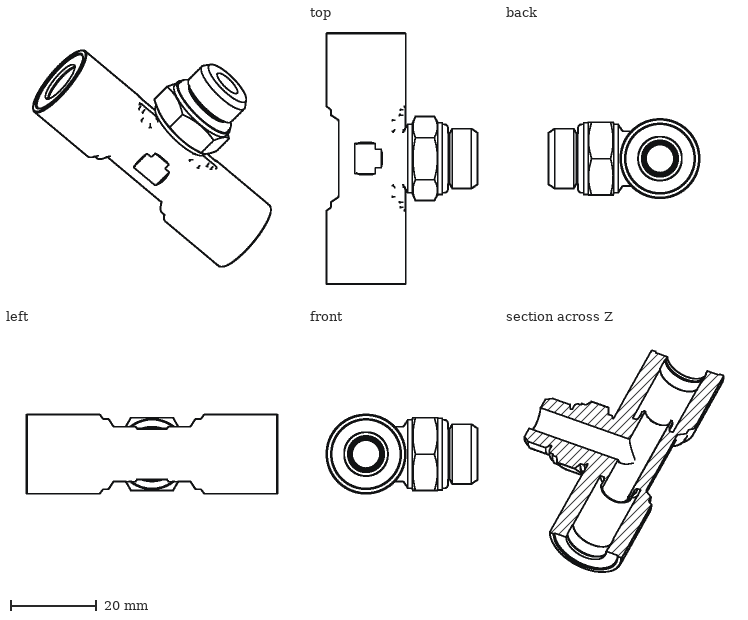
import cadquery as cq
import math

selection_margin = 0.01

run_length = 58.6
run_half = run_length / 2
run_radius = 12.8 / 2
sleeve_radius = 18.5 / 2
sleeve_start = 12.15
sleeve_edge = 0.2
collar_radius = 16.4 / 2
collar_end = 11.38
collar_start = 10.12
run_end = 8.93
shoulder_round = 0.35

recess_rim_radius = 16.4 / 2
recess_floor_radius = 16.0 / 2
recess_depth = 0.3

socket_radius = 10.15 / 2
socket_depth = 20.0
undercut_radius = 10.35 / 2
undercut_start = 0.8
undercut_ramp = 0.3
undercut_end = 4.1

nose_base_radius = 8.5 / 2
nose_radius = 7.85 / 2
nose_tip_radius = 7.1 / 2
nose_length = 3.0
nose_step = 0.5
run_bore_radius = 6.5 / 2
branch_bore_radius = 6.45 / 2

neck_radius = 12.8 / 2
neck_end = 8.7
flange_radius = 16.0 / 2
flange_start = 9.75
hex_start = 10.8
hex_end = 16.7
hex_across_flats = 17.0
hex_rear_face_radius = 16.4 / 2
hex_front_face_radius = 16.8 / 2
hex_rear_chamfer = 0.7
hex_front_chamfer = 0.8
washer_radius = 16.8 / 2
washer_end = 17.75
seal_radius = 16.0 / 2
seal_end = 19.1
seal_round = 0.9
relief_radius = 11.8 / 2
relief_end = 19.45
thread_radius = 14.0 / 2
thread_start = 20.1
thread_chamfer_start = 24.55
branch_end = 26.0
thread_tip_radius = 12.0 / 2

web_thickness = 3.0
web_reach = 9.22
web_overlap = 1.0
web_fillet = 0.9
crease_fillet = 0.4

pad_height = 6.03
pad_rear = -2.7
pad_front = 3.8
pad_width = 7.6
pad_corner = 0.5
pad_edge_round = 0.45
pad_wall_run = 0.3


def revolve_about_y(points):
    return cq.Workplane("XY").polyline(points).close().revolve(360, (0, 0, 0), (0, 1, 0))


def revolve_about_x(points):
    return cq.Workplane("XY").polyline(points).close().revolve(360, (0, 0, 0), (1, 0, 0))


def circle_selector(radius, x=None, y=None):
    reach = radius + selection_margin
    low = [-reach, -reach, -reach]
    high = [reach, reach, reach]
    axis, place = (0, x) if y is None else (1, y)
    low[axis] = place - selection_margin
    high[axis] = place + selection_margin
    return cq.selectors.BoxSelector(low, high, boundingbox=True)


def make_run():
    half_profile = [
        (0, 0),
        (run_radius, 0),
        (run_radius, run_end),
        (collar_radius, collar_start),
        (collar_radius, collar_end),
        (sleeve_radius, sleeve_start),
        (sleeve_radius, run_half - sleeve_edge),
        (sleeve_radius - sleeve_edge, run_half),
        (0, run_half),
    ]
    half = revolve_about_y(half_profile)
    shoulder_circles = [
        (sleeve_radius, sleeve_start),
        (collar_radius, collar_end),
        (collar_radius, collar_start),
        (run_radius, run_end),
    ]
    for radius, place in shoulder_circles:
        half = half.edges(circle_selector(radius, y=place)).fillet(shoulder_round)
    return half.union(half.mirror("XZ"))


def make_neck():
    profile = [
        (0, 0),
        (0, neck_radius),
        (neck_end, neck_radius),
        (flange_start, flange_radius),
        (hex_start, flange_radius),
        (hex_start, 0),
    ]
    return revolve_about_x(profile).edges(circle_selector(neck_radius, x=neck_end)).fillet(shoulder_round)


def make_threaded_end():
    return (
        cq.Workplane("XY")
        .moveTo(hex_end, 0)
        .lineTo(hex_end, washer_radius)
        .lineTo(washer_end, washer_radius)
        .lineTo(washer_end, seal_radius)
        .lineTo(seal_end - seal_round, seal_radius)
        .radiusArc((seal_end, seal_radius - seal_round), seal_round)
        .lineTo(seal_end, relief_radius)
        .lineTo(relief_end, relief_radius)
        .lineTo(thread_start, thread_radius)
        .lineTo(thread_chamfer_start, thread_radius)
        .lineTo(branch_end, thread_tip_radius)
        .lineTo(branch_end, 0)
        .close()
        .revolve(360, (0, 0, 0), (1, 0, 0))
    )


def make_hexagon():
    corner_radius = hex_across_flats / 2 / math.cos(math.pi / 6)
    prism = (
        cq.Workplane("YZ", origin=(hex_start, 0, 0))
        .polygon(6, 2 * corner_radius)
        .extrude(hex_end - hex_start)
    )
    envelope_profile = [
        (hex_start, 0),
        (hex_start, hex_rear_face_radius),
        (hex_start + hex_rear_chamfer, corner_radius),
        (hex_end - hex_front_chamfer, corner_radius),
        (hex_end, hex_front_face_radius),
        (hex_end, 0),
    ]
    return prism.intersect(revolve_about_x(envelope_profile))


def web_root_wire(plane, radius):
    half_web = web_thickness / 2
    center_height = half_web + web_fillet
    center_distance = radius + web_fillet
    center_reach = math.sqrt(center_distance**2 - center_height**2)
    slope = math.asin(center_height / center_distance)
    mid_angle = (slope + math.pi / 2) / 2
    body_contact = (radius * math.cos(slope), radius * math.sin(slope))
    web_contact = (center_reach, half_web)
    arc_middle = (
        center_reach - web_fillet * math.cos(mid_angle),
        center_height - web_fillet * math.sin(mid_angle),
    )
    inner_corner = (radius - web_fillet, 0)
    return (
        cq.Workplane(plane)
        .moveTo(*inner_corner)
        .lineTo(*body_contact)
        .threePointArc(arc_middle, web_contact)
        .close()
        .wire()
        .val()
    )


def plane_across_run(y):
    return cq.Plane((0, y, 0), xDir=(1, 0, 0), normal=(0, -1, 0))


def plane_across_branch(x):
    return cq.Plane((x, 0, 0), xDir=(0, 1, 0), normal=(1, 0, 0))


def make_web_roots(plane_at, stations):
    wires = [web_root_wire(plane_at(place), radius) for place, radius in stations]
    roots = cq.Workplane("XY")
    for start, end in zip(wires, wires[1:]):
        roots = roots.add(cq.Solid.makeLoft([start, end], True))
    return roots.combine()


def make_webs():
    half_span = sleeve_start + web_overlap
    drum = cq.Workplane("XZ").circle(web_reach).extrude(half_span, both=True)
    slab = cq.Workplane("XY").box(sleeve_radius, 2 * half_span, web_thickness, centered=(False, True, True))
    run_stations = [
        (0, run_radius),
        (run_end, run_radius),
        (collar_start, collar_radius),
        (collar_end, collar_radius),
        (sleeve_start, sleeve_radius),
    ]
    branch_stations = [
        (0, neck_radius),
        (neck_end, neck_radius),
        (flange_start, flange_radius),
    ]
    run_roots = make_web_roots(plane_across_run, run_stations)
    branch_roots = make_web_roots(plane_across_branch, branch_stations)
    roots = run_roots.union(branch_roots)
    roots = roots.union(roots.mirror("XZ"))
    roots = roots.union(roots.mirror("XY"))
    return slab.union(roots).intersect(drum)


def add_pads(body):
    rear = (
        cq.Workplane("XY")
        .box(-pad_rear, pad_width, 2 * pad_height)
        .translate((pad_rear / 2, 0, 0))
        .edges("|Z and <X")
        .fillet(pad_corner)
        .faces("|Z")
        .edges("<X")
        .fillet(pad_edge_round)
    )
    sunk_length = pad_front - pad_rear
    sunk_top = (
        cq.Workplane("XY", origin=((pad_front + pad_rear) / 2, 0, run_radius))
        .rect(sunk_length, pad_width)
        .extrude(pad_height - run_radius)
        .edges("|Z")
        .fillet(pad_corner)
        .faces("<Z")
        .edges()
        .chamfer(pad_wall_run)
    )
    return body.union(rear).cut(sunk_top).cut(sunk_top.mirror("XY"))


def make_socket():
    floor = run_half - socket_depth
    face = run_half - recess_depth
    profile = [
        (0, 0),
        (run_bore_radius, 0),
        (run_bore_radius, floor + nose_length),
        (nose_tip_radius, floor + nose_length),
        (nose_radius, floor + nose_length - nose_step),
        (nose_radius, floor + nose_step),
        (nose_base_radius, floor),
        (socket_radius, floor),
        (socket_radius, face - undercut_end),
        (undercut_radius, face - undercut_end),
        (undercut_radius, face - undercut_start - undercut_ramp),
        (socket_radius, face - undercut_start),
        (socket_radius, face),
        (recess_floor_radius, face),
        (recess_rim_radius, run_half),
        (0, run_half),
    ]
    return revolve_about_y(profile)


def make_branch_bore():
    return cq.Workplane("YZ").circle(branch_bore_radius).extrude(branch_end)


def round_crease(body):
    def lies_on_crease(edge):
        middle = edge.Center()
        return middle.x > pad_corner and abs(middle.x - abs(middle.y)) < selection_margin

    crease_edges = body.edges().filter(lies_on_crease)
    return crease_edges.fillet(crease_fillet)


def mirror_halves(body):
    size = 2 * branch_end + run_length
    half_space = cq.Workplane("XY").box(size, size, size, centered=(True, False, True))
    half = body.intersect(half_space)
    return half.union(half.mirror("XZ")).clean()


body = add_pads(make_run().union(make_neck()))
body = round_crease(body)
body = mirror_halves(body.union(make_webs()))
body = body.union(make_hexagon()).union(make_threaded_end())
socket = make_socket()
result = body.cut(socket).cut(socket.mirror("XZ")).cut(make_branch_bore())